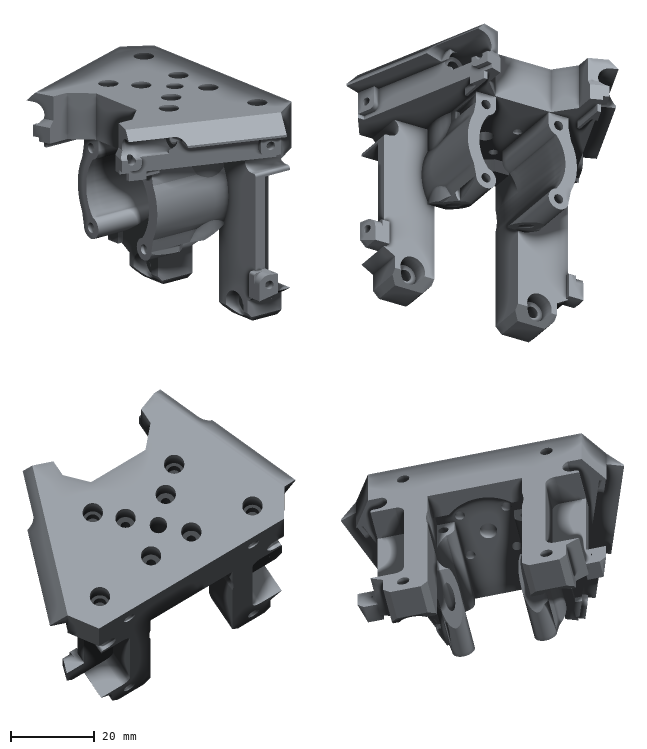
import cadquery as cq
import math

TILT = 20.0
TAN_TILT = math.tan(math.radians(TILT))
COS_TILT = math.cos(math.radians(TILT))
SIN_TILT = math.sin(math.radians(TILT))

CLEAR_Y = -55.4

PLATE_HEIGHT = 11.7
REAR_HALF_WIDTH = 26.1
FLANK_Y = -6.85
FLANK_LENGTH = 39.1
LIP_X = 34.6
LIP_REACH = 4.3
LIP_EDGE = 0.55
FLANK_X = LIP_X - LIP_REACH * COS_TILT
LIP_BOTTOM = -(LIP_REACH + LIP_EDGE)
FLANK_RECESS = 1.65
ARM_INNER_X = 12.4
NOTCH_HALF_WIDTH = 7.7
NOTCH_Y = -32.55
NOTCH_CORNER_Y = -37.7

NOSE_REACH = 1.0
NOSE_TOP = -6.1
NOSE_SLOPE_END = -7.75
EAR_BOTTOM = -10.65

EAR_LENGTH = 5.05
EAR_ROUND = 1.5
EAR_HOLE_RADIUS = 1.05
EAR_HOLE_DEPTH = 3.45
EAR_HOLE_Z = -8.2
EAR_HOLE_INSET = 2.55

PIVOT_X = 17.5
PIVOT_RADIUS = 1.5
PIVOT_SEAT_RADIUS = 2.8
UPPER_PIVOT_Z = -5.1
LOWER_PIVOT_Z = -51.25
UPPER_SEAT_Y = -29.4
RELIEF_Y = -31.5

MOUNT_Y = -14.7
MOUNT_CENTRE_RADIUS = 2.1
MOUNT_PITCH_HALF = 5.7
MOUNT_RADIUS = 1.2
CORNER_RADIUS = 1.65
HEAD_RADIUS = 2.4
HEAD_DEPTH = 5.55
CORNER_DEPTH = 8.3
CORNER_HOLES = [(21.55, -6.8), (11.5, -25.75)]

PART_HEIGHT = 55.1
LEG_DEPTH = 10.45
LEG_OUTER_X = 25.5
LEG_INNER_X = 11.55
LEG_TOP = -16.35
LEG_TOP_ROUND = 0.7
FOOT_OUTER_X = 22.4
FOOT_STEP_Z = -47.2
FOOT_TOP_Z = -49.0
FOOT_CHAMFER = 1.65
TOE_CHAMFER = 2.9
BITE_X = 23.9
BITE_RADIUS = 2.5
FLANGE_Y = -7.55
LEG_RECESS_X = 17.3
LEG_RECESS_ROUND = 2.2
LEG_RECESS_TOP = -17.45
LEG_RECESS_BOTTOM = -47.1
SEAT_FLARE = 0.6
LOWER_SEAT_DEPTH = 3.45

TAB_TOP = -40.65
TAB_BOTTOM = -47.1
TAB_OUTER_X = 30.4
TAB_INNER_X = 24.85
TAB_FRONT_Y = -12.0
TAB_CHAMFER = 1.6
TAB_EDGE_ROUND = 0.7
TAB_HOLE_Y = -9.6
TAB_HOLE_Z = -43.2
TAB_EAR_X = 26.8
TAB_EAR_ROUND = 2.55

CLAMP_Z = -24.6
CLAMP_BORE = 11.9
CLAMP_OUTER = 15.1
CLAMP_FRONT_Y = -32.2
SCREW_OFFSET = 10.05
SCREW_RADIUS = 1.25
SCREW_BOSS = 2.8
JAW_BLEND = 6.85
SLOPE_START_Z = -32.2
SLOPE_END_Y = -24.1
BARREL_RADIUS = 14.05
BARREL_FRONT_Y = -21.7
WEDGE_REAR_Y = -22.6
WEDGE_DEPTH = 1.25
WEDGE_HEIGHT = 4.15

BAR_BOTTOM = -15.0
BAR_DEPTH = 6.2
BAR_HOLLOW_RADIUS = 11.4
RIB_BOTTOM = -13.7
RIB_REAR_Y = -37.6
RIB_FRONT_Y = -41.7
RIB_INNER_X = 15.25
RIB_WALL = 0.7


def flank_point(along, outward=0.0):
    """Plan point measured along the right flank and outward from it."""
    x = FLANK_X - along * SIN_TILT + outward * COS_TILT
    y = FLANK_Y - along * COS_TILT - outward * SIN_TILT
    return x, y


def flank_x(y, outward=0.0):
    return FLANK_X + (y - FLANK_Y) * TAN_TILT + outward / COS_TILT


def flank_plane(along, outward=0.0, z=0.0):
    """Local X follows the flank forward, local Y is up, and the normal points inward."""
    x, y = flank_point(along, outward)
    return cq.Plane(origin=(x, y, z), xDir=(-SIN_TILT, -COS_TILT, 0), normal=(-COS_TILT, SIN_TILT, 0))


def both_sides(solid):
    return solid.union(solid.mirror("YZ"))


def prism(points, top, bottom):
    return cq.Workplane("XY", origin=(0, 0, bottom)).polyline(points).close().extrude(top - bottom)


def box(x_range, y_range, z_range):
    size = [abs(r[1] - r[0]) for r in (x_range, y_range, z_range)]
    centre = [sum(r) / 2 for r in (x_range, y_range, z_range)]
    return cq.Workplane("XY").box(*size).translate(tuple(centre))


def rod(x, z, radius, y_rear, y_front):
    return cq.Workplane("XZ", origin=(x, y_rear, z)).circle(radius).extrude(y_rear - y_front)


def plate():
    end_outer = flank_point(FLANK_LENGTH)
    end_inner = (ARM_INNER_X, end_outer[1] + (end_outer[0] - ARM_INNER_X) * TAN_TILT)
    half = [(0, 0), (REAR_HALF_WIDTH, 0), (FLANK_X, FLANK_Y), end_outer, end_inner,
            (ARM_INNER_X, NOTCH_CORNER_Y), (NOTCH_HALF_WIDTH, NOTCH_Y), (0, NOTCH_Y)]
    body = prism(half, 0, -PLATE_HEIGHT)
    recess = prism([flank_point(0), flank_point(FLANK_LENGTH), flank_point(FLANK_LENGTH, -FLANK_RECESS),
                    (flank_x(FLANK_Y, -FLANK_RECESS), FLANK_Y)], LIP_BOTTOM, -PLATE_HEIGHT)

    lip_plane = cq.Plane(origin=(FLANK_X, FLANK_Y, 0), xDir=(COS_TILT, -SIN_TILT, 0),
                         normal=(-SIN_TILT, -COS_TILT, 0))
    lip = (cq.Workplane(lip_plane)
           .polyline([(-FLANK_RECESS, 0), (0, 0), (LIP_REACH, -LIP_REACH), (LIP_REACH, LIP_BOTTOM),
                      (-FLANK_RECESS, LIP_BOTTOM)])
           .close().extrude(FLANK_LENGTH))
    return both_sides(body.cut(recess).union(lip))


def arm_noses():
    """Strip with a sloped top across each arm end, inward of the recessed flank."""
    plane = flank_plane(FLANK_LENGTH, -FLANK_RECESS)
    nose = (cq.Workplane(plane)
            .polyline([(-NOSE_REACH, NOSE_TOP), (0, NOSE_TOP), (NOSE_REACH, NOSE_SLOPE_END),
                       (NOSE_REACH, -PLATE_HEIGHT), (-NOSE_REACH, -PLATE_HEIGHT)])
            .close().extrude(ARM_INNER_X))
    return both_sides(nose.intersect(box((ARM_INNER_X, FLANK_X), (CLEAR_Y, 0), (-PLATE_HEIGHT, 0))))


def flank_ear(along, direction):
    """Ear reaching from one end of the flank, with its far lower corner rounded."""
    def at(reach, z):
        return direction * reach, z

    arc_inset = EAR_ROUND * (1 - math.sqrt(0.5))
    return (cq.Workplane(flank_plane(along))
            .moveTo(*at(0, LIP_BOTTOM))
            .lineTo(*at(EAR_LENGTH, LIP_BOTTOM))
            .lineTo(*at(EAR_LENGTH, EAR_BOTTOM + EAR_ROUND))
            .threePointArc(at(EAR_LENGTH - arc_inset, EAR_BOTTOM + arc_inset),
                           at(EAR_LENGTH - EAR_ROUND, EAR_BOTTOM))
            .lineTo(*at(0, EAR_BOTTOM))
            .close().extrude(FLANK_RECESS))


def flank_ears():
    ears = flank_ear(0, 1).union(flank_ear(FLANK_LENGTH + NOSE_REACH, -1))
    behind = box((0, FLANK_X), (FLANK_Y, 0), (EAR_BOTTOM, LIP_BOTTOM))
    nose_slope = (cq.Workplane(flank_plane(FLANK_LENGTH))
                  .polyline([(0, LIP_BOTTOM), (0, NOSE_TOP), (NOSE_REACH, NOSE_SLOPE_END),
                             (NOSE_REACH, LIP_BOTTOM)])
                  .close().extrude(FLANK_RECESS))
    return both_sides(ears.cut(behind).cut(nose_slope))


def ear_holes():
    def drill(along):
        return cq.Workplane(flank_plane(along, 0, EAR_HOLE_Z)).circle(EAR_HOLE_RADIUS).extrude(EAR_HOLE_DEPTH)

    front_along = FLANK_LENGTH + NOSE_REACH - EAR_HOLE_INSET
    return both_sides(drill(EAR_HOLE_INSET).union(drill(front_along)))


def upper_pivot_cut():
    """Screw hole, its seat, and the relief that opens the seat out through the lip."""
    reach = 2 * PIVOT_X
    hole = rod(PIVOT_X, UPPER_PIVOT_Z, PIVOT_RADIUS, 0, CLEAR_Y)
    seat = rod(PIVOT_X, UPPER_PIVOT_Z, PIVOT_SEAT_RADIUS, UPPER_SEAT_Y, CLEAR_Y)
    relief_plane = cq.Plane(origin=(PIVOT_X, RELIEF_Y, UPPER_PIVOT_Z), xDir=(0, 0, 1),
                            normal=(COS_TILT, -SIN_TILT, 0))
    relief = (cq.Workplane(relief_plane).workplane(offset=PIVOT_SEAT_RADIUS)
              .circle(PIVOT_SEAT_RADIUS).extrude(reach))
    fan = prism([(PIVOT_X, RELIEF_Y), (PIVOT_X + reach, RELIEF_Y - reach * TAN_TILT),
                 (PIVOT_X + reach, CLEAR_Y), (PIVOT_X, CLEAR_Y)],
                UPPER_PIVOT_Z + PIVOT_SEAT_RADIUS, UPPER_PIVOT_Z - PIVOT_SEAT_RADIUS)
    return both_sides(hole.union(seat).union(relief).union(fan))


def mounting_holes():
    def drill(points, radius, depth):
        return cq.Workplane("XY").pushPoints(points).circle(radius).extrude(-depth)

    corners = [(side * x, y) for x, y in CORNER_HOLES for side in (-1, 1)]
    square = [(i * MOUNT_PITCH_HALF, MOUNT_Y + j * MOUNT_PITCH_HALF) for i in (-1, 1) for j in (-1, 1)]
    return (drill([(0, MOUNT_Y)], MOUNT_CENTRE_RADIUS, PLATE_HEIGHT)
            .union(drill(square, MOUNT_RADIUS, PLATE_HEIGHT))
            .union(drill(corners, CORNER_RADIUS, CORNER_DEPTH))
            .union(drill(square + corners, HEAD_RADIUS, HEAD_DEPTH)))


def legs():
    bite_z = LEG_TOP + BITE_RADIUS
    outline = [(LEG_INNER_X, -PLATE_HEIGHT), (BITE_X, -PLATE_HEIGHT), (BITE_X, LEG_TOP),
               (LEG_OUTER_X, LEG_TOP), (LEG_OUTER_X, FOOT_STEP_Z), (FOOT_OUTER_X, FOOT_TOP_Z),
               (FOOT_OUTER_X, FOOT_CHAMFER - PART_HEIGHT), (FOOT_OUTER_X - FOOT_CHAMFER, -PART_HEIGHT),
               (LEG_INNER_X + FOOT_CHAMFER, -PART_HEIGHT), (LEG_INNER_X, FOOT_CHAMFER - PART_HEIGHT)]
    leg = cq.Workplane("XZ").polyline(outline).close().extrude(LEG_DEPTH)
    leg = leg.edges("|Y and >X").edges(">Z").fillet(LEG_TOP_ROUND)
    leg = leg.cut(rod(BITE_X, bite_z, BITE_RADIUS, 0, -LEG_DEPTH))
    toe = (cq.Workplane("YZ")
           .polyline([(-LEG_DEPTH, -PART_HEIGHT), (TOE_CHAMFER - LEG_DEPTH, -PART_HEIGHT),
                      (-LEG_DEPTH, TOE_CHAMFER - PART_HEIGHT)])
           .close().extrude(LEG_OUTER_X))
    recess = box((LEG_RECESS_X, LEG_OUTER_X), (FLANGE_Y, 0), (LEG_RECESS_BOTTOM, LEG_RECESS_TOP))
    recess = recess.edges("|Y and <X").fillet(LEG_RECESS_ROUND)
    bore = rod(0, CLAMP_Z, CLAMP_BORE, 0, -LEG_DEPTH)
    hole = rod(PIVOT_X, LOWER_PIVOT_Z, PIVOT_RADIUS, 0, -LEG_DEPTH)
    seat = (cq.Workplane("XZ", origin=(PIVOT_X, LOWER_SEAT_DEPTH - LEG_DEPTH, LOWER_PIVOT_Z))
            .circle(PIVOT_SEAT_RADIUS).workplane(offset=LOWER_SEAT_DEPTH)
            .circle(PIVOT_SEAT_RADIUS + SEAT_FLARE).loft())
    return both_sides(leg.cut(toe).cut(recess).cut(bore).cut(hole).cut(seat))


def leg_tabs():
    """Side tabs on the legs, parallel to the plate flanks, each with a hole and a rounded ear."""
    front_x = TAB_OUTER_X + (TAB_FRONT_Y - FLANGE_Y) * TAN_TILT
    tab = prism([(TAB_INNER_X, FLANGE_Y), (TAB_OUTER_X, FLANGE_Y), (front_x, TAB_FRONT_Y),
                 (TAB_INNER_X, TAB_FRONT_Y)], TAB_TOP, TAB_BOTTOM)
    tab = tab.faces(">Z").edges("<Y").fillet(TAB_EDGE_ROUND)
    chamfer = (cq.Workplane("XZ")
               .polyline([(TAB_OUTER_X, TAB_BOTTOM), (TAB_OUTER_X - TAB_CHAMFER, TAB_BOTTOM),
                          (TAB_OUTER_X, TAB_BOTTOM + TAB_CHAMFER)])
               .close().extrude(-TAB_FRONT_Y))
    round_y = TAB_FRONT_Y + TAB_EAR_ROUND
    round_z = TAB_TOP - TAB_EAR_ROUND
    ear_round = box((TAB_EAR_X, TAB_OUTER_X), (TAB_FRONT_Y, round_y), (round_z, TAB_TOP))
    ear_round = ear_round.cut(cq.Workplane("YZ", origin=(TAB_EAR_X, round_y, round_z))
                              .circle(TAB_EAR_ROUND).extrude(TAB_OUTER_X - TAB_EAR_X))
    hole_x = TAB_OUTER_X + (TAB_HOLE_Y - FLANGE_Y) * TAN_TILT
    hole_plane = cq.Plane(origin=(hole_x, TAB_HOLE_Y, TAB_HOLE_Z), xDir=(0, 0, 1),
                          normal=(-COS_TILT, SIN_TILT, 0))
    hole = cq.Workplane(hole_plane).circle(EAR_HOLE_RADIUS).extrude(EAR_HOLE_DEPTH)
    return both_sides(tab.cut(chamfer).cut(ear_round).cut(hole))


def jaw_profile():
    """Solid jaw outline to the right of the axis, before boring."""
    length = -LEG_DEPTH - CLAMP_FRONT_Y
    sector = (cq.Workplane("XZ", origin=(0, -LEG_DEPTH, CLAMP_Z))
              .polyline([(0, 0), (CLAMP_OUTER, CLAMP_OUTER), (CLAMP_OUTER, -CLAMP_OUTER)])
              .close().extrude(length))
    jaw = rod(0, CLAMP_Z, CLAMP_OUTER, -LEG_DEPTH, CLAMP_FRONT_Y).intersect(sector)
    blend_x = math.sqrt(CLAMP_OUTER ** 2 - JAW_BLEND ** 2)
    boss_x = SCREW_OFFSET + SCREW_BOSS
    blend = (cq.Workplane("XZ", origin=(0, -LEG_DEPTH, CLAMP_Z))
             .polyline([(SCREW_OFFSET, SCREW_OFFSET), (boss_x, SCREW_OFFSET), (blend_x, JAW_BLEND),
                        (blend_x, -JAW_BLEND), (boss_x, -SCREW_OFFSET), (SCREW_OFFSET, -SCREW_OFFSET)])
             .close().extrude(length))
    return jaw.union(blend)


def clamp():
    """Two jaws hung from the plate, with screw bosses along Y."""
    upper_z = CLAMP_Z + SCREW_OFFSET
    lower_z = CLAMP_Z - SCREW_OFFSET
    boss_x = SCREW_OFFSET + SCREW_BOSS
    lowest_z = lower_z - SCREW_BOSS
    barrel = (cq.Workplane("XY", origin=(0, MOUNT_Y, lowest_z))
              .circle(BARREL_RADIUS).extrude(-PLATE_HEIGHT - lowest_z))
    barrel = barrel.intersect(box((SCREW_OFFSET, BARREL_RADIUS), (BARREL_FRONT_Y, -LEG_DEPTH),
                                  (lower_z, -PLATE_HEIGHT)))
    jaw = jaw_profile().union(barrel).cut(rod(0, CLAMP_Z, CLAMP_BORE, -LEG_DEPTH, CLAMP_FRONT_Y))
    for z in (upper_z, lower_z):
        jaw = jaw.union(rod(SCREW_OFFSET, z, SCREW_BOSS, -LEG_DEPTH, CLAMP_FRONT_Y))
    jaw = jaw.union(box((SCREW_OFFSET - SCREW_BOSS, boss_x), (CLAMP_FRONT_Y, -LEG_DEPTH),
                        (upper_z, -PLATE_HEIGHT)))

    underside = (cq.Workplane("YZ")
                 .polyline([(-LEG_DEPTH, SLOPE_START_Z), (SLOPE_END_Y, lowest_z), (-LEG_DEPTH, lowest_z)])
                 .close().extrude(CLAMP_OUTER))
    jaw = jaw.cut(underside)
    for screw_z in (upper_z, lower_z):
        wedge = prism([(boss_x, CLAMP_FRONT_Y), (boss_x, WEDGE_REAR_Y), (boss_x - WEDGE_DEPTH, WEDGE_REAR_Y)],
                      screw_z + WEDGE_HEIGHT / 2, screw_z - WEDGE_HEIGHT / 2)
        hole = rod(SCREW_OFFSET, screw_z, SCREW_RADIUS, -LEG_DEPTH, CLAMP_FRONT_Y)
        jaw = jaw.cut(wedge).cut(hole)
    return both_sides(jaw)


def crossbar():
    """Bar joining the legs under the plate, hollowed in front around the central mounting hole."""
    bar = box((-LEG_INNER_X, LEG_INNER_X), (-BAR_DEPTH, 0), (BAR_BOTTOM, -PLATE_HEIGHT))
    hollow = (cq.Workplane("XY", origin=(0, MOUNT_Y, BAR_BOTTOM)).circle(BAR_HOLLOW_RADIUS)
              .extrude(-BAR_BOTTOM - PLATE_HEIGHT))
    return bar.cut(hollow)


def ribs():
    """Blocks under the arms, each with a thin wall running back to the clamp front."""
    block = [(flank_x(RIB_REAR_Y, -FLANK_RECESS), RIB_REAR_Y),
             (flank_x(RIB_FRONT_Y, -FLANK_RECESS), RIB_FRONT_Y),
             (RIB_INNER_X, RIB_FRONT_Y), (RIB_INNER_X, CLAMP_FRONT_Y),
             (RIB_INNER_X + RIB_WALL, CLAMP_FRONT_Y), (RIB_INNER_X + RIB_WALL, RIB_REAR_Y)]
    return both_sides(prism(block, -PLATE_HEIGHT, RIB_BOTTOM))


head = plate().union(arm_noses()).union(flank_ears()).cut(upper_pivot_cut()).cut(ear_holes())
head = head.cut(mounting_holes())
result = head.union(crossbar()).union(ribs()).union(legs()).union(leg_tabs()).union(clamp())